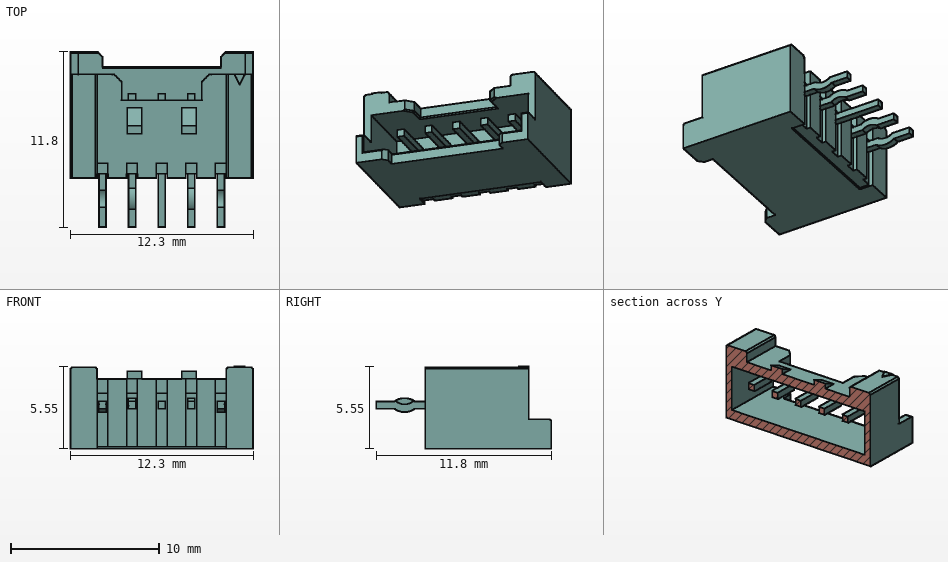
import cadquery as cq


width = 12.3
body_length = 8.5
height = 5.5
bevel = 0.1
edge_bevel = 0.12
overlap = 0.12

pin_count = 5
pitch = 1.99
pin_size = 0.49
pin_z = 2.94
pin_inner_y = 5.7
pin_outer_y = -3.3
kink_y = -1.38
kink_half_outer = 0.7
kink_half_inner = 0.57
kink_rise_outer = 0.23
kink_rise_inner = 0.2
pin_xs = [(i - (pin_count - 1) / 2) * pitch for i in range(pin_count)]
pin_kinks = [-1, 1, 0, 1, -1]

slot_width = 0.73
slot_depth_upper = 1.01
slot_depth_lower = 0.28
slot_shelf_z = 3.73
middle_width = (pin_count - 1) * pitch + slot_width
block_width = (width - middle_width) / 2

roof_z = 4.71
roof_thickness = 0.75
floor_thickness = 0.75
side_wall = 0.52
back_wall = 2.0
roof_front_y = 7.0
tab_height = 1.99
underside_relief = 0.14

floor_notch_width = 7.97
floor_notch_y = 7.49
floor_notch_corner = 0.33
roof_notch_width = 5.41
roof_notch_y = 5.26
roof_notch_corner = 0.5

wedge_x = 1.83
wedge_width = 1.0
wedge_rise = 0.52
wedge_rear_y = 3.0
wedge_ridge_y = 3.52
wedge_front_y = 4.75

mark_size = 0.7
mark_rise = 0.05


def box(x_min, x_max, y_min, y_max, z_min, z_max):
    """Axis-aligned box between the given limits."""
    size = (x_max - x_min, y_max - y_min, z_max - z_min)
    return cq.Workplane("XY").box(*size, centered=False).translate((x_min, y_min, z_min))


def centred_box(x_width, y_min, y_max, z_min, z_max, x=0.0):
    """Box centred on the given X."""
    return box(x - x_width / 2, x + x_width / 2, y_min, y_max, z_min, z_max)


def side_profile(points, x, thickness):
    """Closed (Y, Z) outline extruded along X and centred on the given X."""
    start = x - thickness / 2
    return cq.Workplane("YZ", origin=(start, 0, 0)).polyline(points).close().extrude(thickness)


def front_notch(notch_width, back_y, front_y, corner, z_min, z_max):
    """Notch that flares at its front corners."""
    half = notch_width / 2
    reach = corner + overlap
    outline = [
        (-half, back_y),
        (half, back_y),
        (half, front_y - corner),
        (half + reach, front_y + overlap),
        (-half - reach, front_y + overlap),
        (-half, front_y - corner),
    ]
    return cq.Workplane("XY", origin=(0, 0, z_min)).polyline(outline).close().extrude(z_max - z_min)


def edges_within(x_half, y_min, y_max, z_min, z_max):
    """Selector for edges whose middles lie within the given limits."""
    tolerance = 0.001
    low_corner = (-x_half - tolerance, y_min - tolerance, z_min - tolerance)
    high_corner = (x_half + tolerance, y_max + tolerance, z_max + tolerance)
    return cq.selectors.BoxSelector(low_corner, high_corner)


def side_blocks():
    """Two tall blocks with bevelled top edges."""
    blocks = cq.Workplane("XY")
    for side in (-1, 1):
        x = side * (width - block_width) / 2
        left = x - block_width / 2
        right = x + block_width / 2
        outline = [
            (left, 0),
            (right, 0),
            (right, height - edge_bevel),
            (right - edge_bevel, height),
            (left + edge_bevel, height),
            (left, height - edge_bevel),
        ]
        tall = cq.Workplane("XZ").polyline(outline).close().extrude(-roof_front_y)
        blocks = blocks.union(tall)
    return blocks


def shell():
    """Hollow body with floor, roof, side blocks and front notches."""
    body = side_blocks()
    body = body.union(centred_box(middle_width, 0, roof_front_y, 0, roof_z))
    body = body.union(centred_box(width, roof_front_y, body_length, 0, tab_height))

    cavity_width = width - 2 * side_wall
    cavity_top = roof_z - roof_thickness
    far_y = body_length + overlap
    body = body.cut(centred_box(cavity_width, back_wall, far_y, floor_thickness, cavity_top))

    tab_middle = (width - side_wall) / 2
    mouth = edges_within(tab_middle, body_length, body_length, floor_thickness, tab_height)
    body = body.edges(mouth).chamfer(bevel)

    floor_notch = front_notch(
        floor_notch_width, floor_notch_y, body_length, floor_notch_corner, -overlap, tab_height
    )
    body = body.cut(floor_notch)
    floor_lip = edges_within(0, floor_notch_y, floor_notch_y, floor_thickness, floor_thickness)
    body = body.edges(floor_lip).chamfer(bevel)

    roof_notch = front_notch(
        roof_notch_width, roof_notch_y, roof_front_y, roof_notch_corner, cavity_top - overlap, height
    )
    body = body.cut(roof_notch)
    roof_lip = edges_within(middle_width / 2, roof_notch_y, roof_front_y, cavity_top, cavity_top)
    return body.edges(roof_lip).chamfer(bevel)


def rear_slots():
    """Stepped slots around the pins and the shallow relief under the rear edge."""
    cuts = centred_box(middle_width, -overlap, slot_depth_upper, -overlap, underside_relief)
    for x in pin_xs:
        cuts = cuts.union(centred_box(slot_width, -overlap, slot_depth_lower, -overlap, height, x))
        cuts = cuts.union(centred_box(slot_width, -overlap, slot_depth_upper, slot_shelf_z, height, x))
    return cuts


def pin(x, kink):
    """Square pin along Y, bowed up (+1) or down (-1) behind the body, or straight (0)."""
    if kink == 0:
        half = pin_size / 2
        return centred_box(pin_size, pin_outer_y, pin_inner_y, pin_z - half, pin_z + half, x)

    outer_z = pin_z + kink * pin_size / 2
    inner_z = pin_z - kink * pin_size / 2
    return (
        cq.Workplane("YZ", origin=(x - pin_size / 2, 0, 0))
        .moveTo(pin_outer_y, outer_z)
        .lineTo(kink_y - kink_half_outer, outer_z)
        .threePointArc(
            (kink_y, outer_z + kink * kink_rise_outer), (kink_y + kink_half_outer, outer_z)
        )
        .lineTo(pin_inner_y, outer_z)
        .lineTo(pin_inner_y, inner_z)
        .lineTo(kink_y + kink_half_inner, inner_z)
        .threePointArc(
            (kink_y, inner_z + kink * kink_rise_inner), (kink_y - kink_half_inner, inner_z)
        )
        .lineTo(pin_outer_y, inner_z)
        .close()
        .extrude(pin_size)
    )


def latch_wedge(x):
    """Wedge on the roof that ramps up from the front to a short flat top."""
    outline = [
        (wedge_front_y, roof_z),
        (wedge_ridge_y, roof_z + wedge_rise),
        (wedge_rear_y, roof_z + wedge_rise),
        (wedge_rear_y, roof_z),
    ]
    return side_profile(outline, x, wedge_width)


def first_pin_mark():
    """Triangle on the +X side block, pointing to the rear."""
    x = (width - block_width) / 2
    outline = [
        (x - mark_size / 2, roof_front_y),
        (x + mark_size / 2, roof_front_y),
        (x, roof_front_y - mark_size),
    ]
    return cq.Workplane("XY", origin=(0, 0, height)).polyline(outline).close().extrude(mark_rise)


result = shell().cut(rear_slots())
for x, kink in zip(pin_xs, pin_kinks):
    result = result.union(pin(x, kink))
for x in (-wedge_x, wedge_x):
    result = result.union(latch_wedge(x))
result = result.union(first_pin_mark())